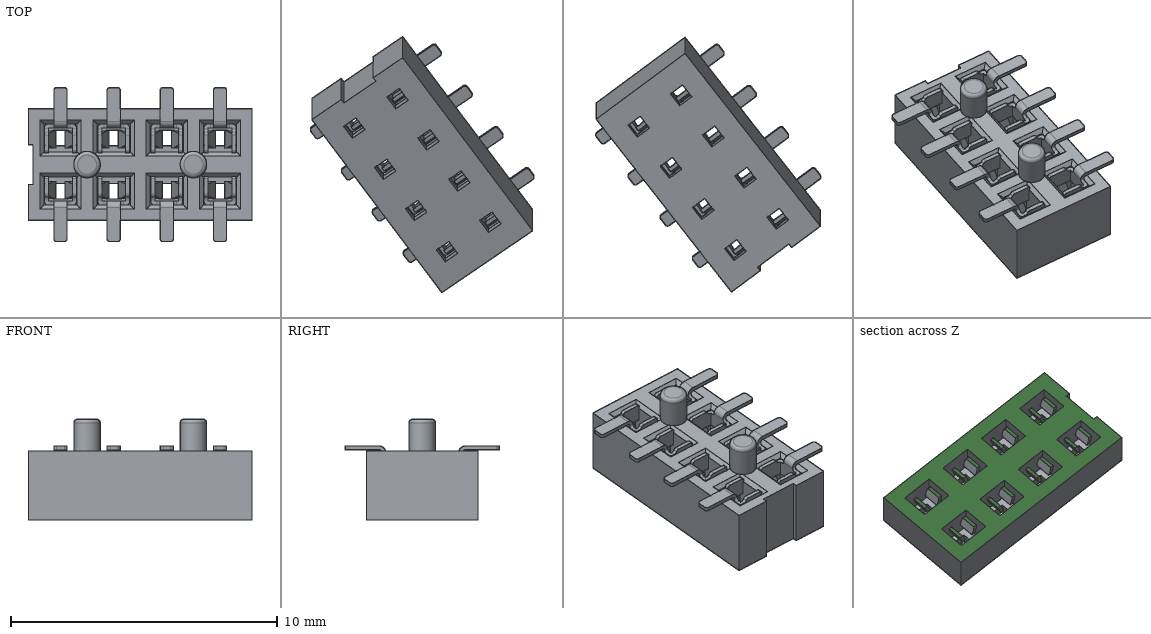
import cadquery as cq
import math

LENGTH = 8.4
WIDTH = 4.2
HEIGHT = 2.6
KEY_WIDTH = 1.48
KEY_DEPTH = 0.17

PITCH = 2.0
COLUMNS = 4
ROW_OFFSET = PITCH / 2

PEG_DIAMETER = 1.0
PEG_TOP = 3.8
PEG_ROUND = 0.14

CAVITY_X = 1.25
CAVITY_Y = 1.05
CAVITY_BEVEL = 0.15
FLOOR_THICKNESS = 0.42
FLOOR_HOLE = 0.57

SHEET = 0.15
ARM_OUTER_X = 0.6
ARM_TOP = 2.595
ARM_BOTTOM = 1.9
ARM_OVERLAP = 0.03
ARM_END_ROUND = 0.08
STEP_START = 0.19
STEP_RUN = 0.22
STEP_RISE = 0.14
CORNER_RADIUS = 0.13
LEAF_ROOT_WIDTH = 0.44
LEAF_TIP_WIDTH = 0.65
LEAF_SHIFT = 0.05
LEAF_TAPER_BOTTOM = 1.33
LEAF_TIP_GAP = 0.34
LEAF_BOTTOM = 1.09
TAIL_WIDTH = 0.5
TAIL_REACH = 2.9
TAIL_TOP = 2.79
TAIL_BEND_RADIUS = 0.24
TAIL_TIP_ROUND = 0.11
TAIL_ROOT_RADIUS = 0.11

BASE_OUTER_Y = CAVITY_Y / 2
BASE_INNER_Y = BASE_OUTER_Y - SHEET
ARM_INNER_X = ARM_OUTER_X - SHEET
BASE_TOP = ARM_TOP - STEP_RISE
ARM_END_Y = -CAVITY_Y / 2 - ARM_OVERLAP
ARM_LENGTH = BASE_OUTER_Y - ARM_END_Y


def make_housing():
    """Block with a polarising slot down its -X face."""
    block = cq.Workplane("XY").box(LENGTH, WIDTH, HEIGHT, centered=(True, True, False))
    key_slot = cq.Workplane("XY").box(2 * KEY_DEPTH, KEY_WIDTH, HEIGHT, centered=(True, True, False))
    return block.cut(key_slot.translate((-LENGTH / 2, 0, 0)))


def make_cavity():
    """Bevelled pocket with a square through hole in its floor."""
    pocket = (
        cq.Workplane("XY", origin=(0, 0, FLOOR_THICKNESS))
        .rect(CAVITY_X, CAVITY_Y)
        .extrude(HEIGHT - FLOOR_THICKNESS)
    )
    mouth = (
        cq.Workplane("XY", origin=(0, 0, HEIGHT))
        .rect(CAVITY_X + 2 * CAVITY_BEVEL, CAVITY_Y + 2 * CAVITY_BEVEL)
        .extrude(-CAVITY_BEVEL, taper=45)
    )
    hole = cq.Workplane("XY").rect(FLOOR_HOLE, FLOOR_HOLE).extrude(FLOOR_THICKNESS)
    return pocket.union(mouth).union(hole)


def make_cradle():
    """U-shaped sheet: a base against the cavity wall and two side arms stepping up from it.

    The arm ends are let a little way into the opposite cavity wall.
    """
    channel = cq.Workplane("XY", origin=(0, 0, ARM_BOTTOM))
    outside = (
        channel.rect(2 * ARM_OUTER_X, ARM_LENGTH)
        .extrude(ARM_TOP - ARM_BOTTOM)
        .translate((0, BASE_OUTER_Y - ARM_LENGTH / 2, 0))
        .edges("|Z and >Y")
        .fillet(CORNER_RADIUS)
    )
    inside = (
        channel.rect(2 * ARM_INNER_X, ARM_LENGTH)
        .extrude(ARM_TOP - ARM_BOTTOM)
        .translate((0, BASE_INNER_Y - ARM_LENGTH / 2, 0))
    )
    step_foot_y = BASE_OUTER_Y - STEP_START
    step_angle = 2 * math.atan2(STEP_RISE, STEP_RUN)
    step_radius = STEP_RUN / 2 / math.sin(step_angle)
    side_shape = (
        cq.Workplane("YZ")
        .moveTo(ARM_END_Y, ARM_BOTTOM)
        .lineTo(BASE_OUTER_Y, ARM_BOTTOM)
        .lineTo(BASE_OUTER_Y, BASE_TOP)
        .lineTo(step_foot_y, BASE_TOP)
        .radiusArc((step_foot_y - STEP_RUN / 2, BASE_TOP + STEP_RISE / 2), step_radius)
        .radiusArc((step_foot_y - STEP_RUN, ARM_TOP), -step_radius)
        .lineTo(ARM_END_Y + ARM_END_ROUND, ARM_TOP)
        .radiusArc((ARM_END_Y, ARM_TOP - ARM_END_ROUND), -ARM_END_ROUND)
        .close()
        .extrude(ARM_OUTER_X, both=True)
    )
    return outside.cut(inside).intersect(side_shape)


def make_tail():
    """Solder tail: rises from the base, bends outward and runs flat past the housing."""
    bend_end_y = BASE_INNER_Y + TAIL_BEND_RADIUS
    bend_start_z = TAIL_TOP - TAIL_BEND_RADIUS
    inner_radius = TAIL_BEND_RADIUS - SHEET
    tip_y = TAIL_REACH - ROW_OFFSET
    strip = (
        cq.Workplane("YZ")
        .moveTo(BASE_INNER_Y, ARM_BOTTOM)
        .lineTo(BASE_INNER_Y, bend_start_z)
        .radiusArc((bend_end_y, TAIL_TOP), TAIL_BEND_RADIUS)
        .lineTo(tip_y, TAIL_TOP)
        .lineTo(tip_y, TAIL_TOP - SHEET)
        .lineTo(bend_end_y, TAIL_TOP - SHEET)
        .radiusArc((bend_end_y - inner_radius, bend_start_z), -inner_radius)
        .lineTo(BASE_OUTER_Y, ARM_BOTTOM)
        .close()
        .extrude(TAIL_WIDTH / 2, both=True)
    )
    return strip.edges("|Z and >Y").fillet(TAIL_TIP_ROUND)


def make_tail_root(side):
    """Concave fillet between the base top and one edge of the tail."""
    edge_x = side * TAIL_WIDTH / 2
    foot_x = edge_x + side * TAIL_ROOT_RADIUS
    return (
        cq.Workplane("XZ", origin=(0, BASE_OUTER_Y, 0))
        .moveTo(edge_x, BASE_TOP)
        .lineTo(foot_x, BASE_TOP)
        .radiusArc((edge_x, BASE_TOP + TAIL_ROOT_RADIUS), side * TAIL_ROOT_RADIUS)
        .close()
        .extrude(SHEET)
    )


def make_leaf(side):
    """Spring leaf slanting inward below one arm and widening to its tip width."""
    tip_x = LEAF_TIP_GAP / 2
    slant = (
        cq.Workplane("XZ")
        .polyline([
            (side * ARM_INNER_X, ARM_BOTTOM),
            (side * ARM_OUTER_X, ARM_BOTTOM),
            (side * (tip_x + SHEET), LEAF_BOTTOM),
            (side * tip_x, LEAF_BOTTOM),
        ])
        .close()
        .extrude(CAVITY_Y / 2, both=True)
    )
    outline = (
        cq.Workplane("YZ")
        .polyline([
            (-LEAF_ROOT_WIDTH / 2, ARM_BOTTOM),
            (LEAF_ROOT_WIDTH / 2, ARM_BOTTOM),
            (LEAF_TIP_WIDTH / 2, LEAF_TAPER_BOTTOM),
            (LEAF_TIP_WIDTH / 2, LEAF_BOTTOM),
            (-LEAF_TIP_WIDTH / 2, LEAF_BOTTOM),
            (-LEAF_TIP_WIDTH / 2, LEAF_TAPER_BOTTOM),
        ])
        .close()
        .extrude(ARM_OUTER_X, both=True)
    )
    return slant.intersect(outline).translate((0, -LEAF_SHIFT, 0))


def make_contact():
    contact = make_cradle().union(make_tail())
    for side in (-1, 1):
        contact = contact.union(make_tail_root(side)).union(make_leaf(side))
    return contact


def make_peg():
    return (
        cq.Workplane("XY", origin=(0, 0, HEIGHT))
        .circle(PEG_DIAMETER / 2)
        .extrude(PEG_TOP - HEIGHT)
        .faces(">Z")
        .edges()
        .fillet(PEG_ROUND)
    )


cavity = make_cavity()
back_contact = make_contact()
front_contact = back_contact.mirror("XZ")

result = make_housing()
for column in range(COLUMNS):
    x = (column - (COLUMNS - 1) / 2) * PITCH
    for row_y, contact in ((ROW_OFFSET, back_contact), (-ROW_OFFSET, front_contact)):
        result = result.cut(cavity.translate((x, row_y, 0)))
        result = result.union(contact.translate((x, row_y, 0)))

for peg_x in (-PITCH, PITCH):
    result = result.union(make_peg().translate((peg_x, 0, 0)))